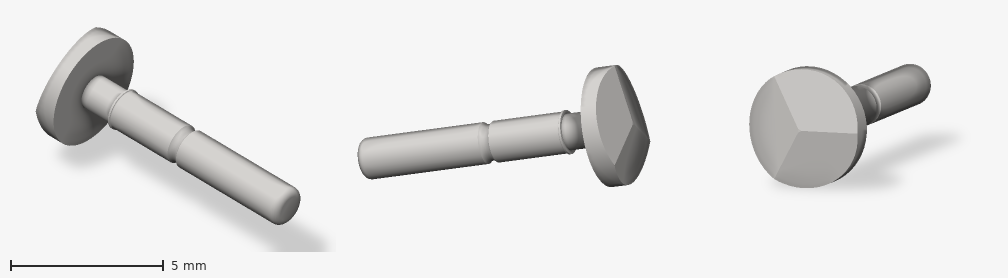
import cadquery as cq
import math

total_length = 9.6

head_radius = 1.98
head_length = 1.02
facet_drop = 0.47
facet_count = 3
tip_flat = 0.01

neck_radius = 0.6
shank_radius = 0.69
end_fillet = 0.25

collar_start = 2.28
collar_width = 0.07
collar_radius = 0.73
collar_fillet = collar_radius - shank_radius

groove_center = 5.05
groove_width = 0.37
groove_depth = 0.09


def make_head():
    """Disc intersected with a blunted pyramid; one ridge points toward -Y."""
    disc = cq.Workplane("YZ").circle(head_radius).extrude(head_length)

    pyramid_depth = 2 * head_length
    inradius = head_radius * (pyramid_depth + tip_flat) / (facet_drop + tip_flat)
    corner_radius = inradius / math.cos(math.pi / facet_count)
    corners = []
    for index in range(facet_count):
        angle = math.pi + index * 2 * math.pi / facet_count
        y = corner_radius * math.cos(angle)
        z = corner_radius * math.sin(angle)
        corners.append(cq.Vector(pyramid_depth, y, z))

    apex = cq.Vector(-tip_flat, 0, 0)
    faces = [cq.Face.makeFromWires(cq.Wire.makePolygon(corners, close=True))]
    for index in range(facet_count):
        triangle = [apex, corners[index], corners[(index + 1) % facet_count]]
        faces.append(cq.Face.makeFromWires(cq.Wire.makePolygon(triangle, close=True)))
    pyramid = cq.Solid.makeSolid(cq.Shell.makeShell(faces))
    return disc.intersect(cq.Workplane(obj=pyramid))


def make_shaft():
    """Revolved neck, collar and grooved shank with a rounded end."""
    collar_end = collar_start + collar_width
    groove_start = groove_center - groove_width / 2
    groove_end = groove_center + groove_width / 2
    diagonal = math.sqrt(0.5)
    collar_arc_middle = (
        collar_end + collar_fillet * (1 - diagonal),
        shank_radius + collar_fillet * (1 - diagonal),
    )
    end_arc_middle = (
        total_length - end_fillet * (1 - diagonal),
        shank_radius - end_fillet * (1 - diagonal),
    )
    profile = (
        cq.Workplane("XY")
        .moveTo(head_length, 0)
        .lineTo(head_length, neck_radius)
        .lineTo(collar_start, neck_radius)
        .lineTo(collar_start, collar_radius)
        .lineTo(collar_end, collar_radius)
        .threePointArc(collar_arc_middle, (collar_end + collar_fillet, shank_radius))
        .lineTo(groove_start, shank_radius)
        .threePointArc((groove_center, shank_radius - groove_depth), (groove_end, shank_radius))
        .lineTo(total_length - end_fillet, shank_radius)
        .threePointArc(end_arc_middle, (total_length, shank_radius - end_fillet))
        .lineTo(total_length, 0)
        .close()
    )
    return profile.revolve(360, (0, 0, 0), (1, 0, 0))


result = make_head().union(make_shaft())